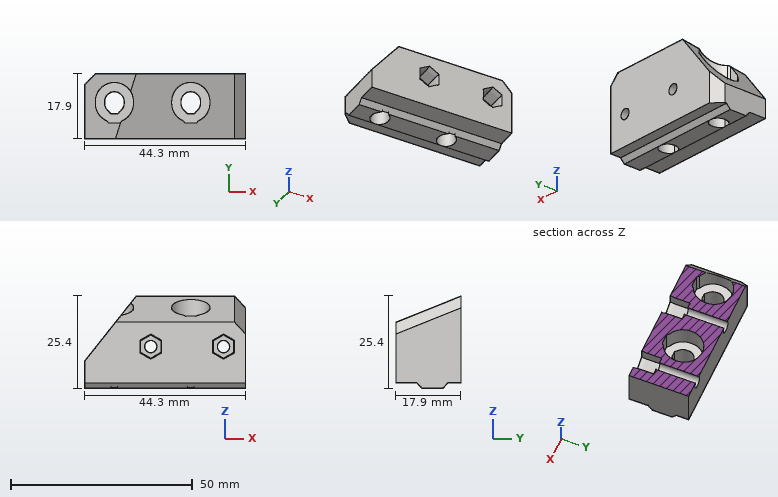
import cadquery as cq
import math

LENGTH = 44.25
FRONT_Y = -10.0
BACK_Y = 7.9
HEIGHT = 25.4
FRONT_HEIGHT = 18.2
WIDTH = BACK_Y - FRONT_Y

RAIL_HEIGHT = 1.5
RAIL_HALF_BOTTOM = 2.9
RAIL_HALF_TOP = 4.25

NOSE_HEIGHT = 7.5
SLOPE_LENGTH = 14.2
CHAMFER = 3.0

BORE_X = (8.2, 29.2)
BORE_TRAVEL = 0.5
COUNTERBORE_DIAMETER = 10.5
COUNTERBORE_TIP_Y = -5.7
COUNTERBORE_FLOOR = 7.0
SCREW_DIAMETER = 5.3
SCREW_TIP_Y = -3.1

BOLT_X = (18.2, 38.2)
BOLT_Z = 11.5
BOLT_DIAMETER = 3.3
NUT_RADIUS = 3.2
NUT_MOUTH_RADIUS = 3.45
NUT_DEPTH = 6.0
NUT_LEAD_IN = 1.5


def make_block():
    """Block with a top that falls toward the front face, standing on the rail."""
    end_outline = [
        (-RAIL_HALF_BOTTOM, 0),
        (RAIL_HALF_BOTTOM, 0),
        (RAIL_HALF_TOP, RAIL_HEIGHT),
        (BACK_Y, RAIL_HEIGHT),
        (BACK_Y, HEIGHT),
        (FRONT_Y, FRONT_HEIGHT),
        (FRONT_Y, RAIL_HEIGHT),
        (-RAIL_HALF_TOP, RAIL_HEIGHT),
    ]
    return cq.Workplane("YZ").polyline(end_outline).close().extrude(LENGTH)


def chamfer_high_end(block):
    """Chamfer the top edge of the high-X end, square to the tilted top face."""
    edge_middle = (LENGTH, (FRONT_Y + BACK_Y) / 2, (FRONT_HEIGHT + HEIGHT) / 2)
    top_edge = cq.selectors.NearestToPointSelector(edge_middle)
    return block.faces(">X").edges(top_edge).chamfer(CHAMFER)


def make_end_slope():
    """Wedge that cuts the sloping face at the low-X end."""
    outline = [(0, NOSE_HEIGHT), (SLOPE_LENGTH, HEIGHT), (0, HEIGHT)]
    return cq.Workplane("XZ", origin=(0, BACK_Y, 0)).polyline(outline).close().extrude(WIDTH)


def make_corner_cut():
    """Prism that cuts the upright back corner at the low-X end."""
    outline = [(0, BACK_Y), (CHAMFER, BACK_Y), (0, BACK_Y - CHAMFER)]
    return cq.Workplane("XY").polyline(outline).close().extrude(HEIGHT)


def make_bore(x, diameter, teardrop_y, tip_y, bottom):
    """Slotted bore open at the top, with a 45-degree teardrop centred on teardrop_y and cut flat at tip_y."""
    radius = diameter / 2
    depth = HEIGHT - bottom
    base = cq.Workplane("XY", origin=(x, 0, bottom))
    slot = base.slot2D(diameter + BORE_TRAVEL, diameter, 90).extrude(depth)
    tangent = radius * math.sin(math.radians(45))
    apex_y = teardrop_y - radius * math.sqrt(2)
    tip_half_width = tip_y - apex_y
    tip_outline = [
        (-tangent, teardrop_y - tangent),
        (-tip_half_width, tip_y),
        (tip_half_width, tip_y),
        (tangent, teardrop_y - tangent),
    ]
    return slot.union(base.polyline(tip_outline).close().extrude(depth))


def make_screw_bore(x):
    """Through hole for a screw with the counterbore for its head."""
    half_travel = BORE_TRAVEL / 2
    counterbore = make_bore(x, COUNTERBORE_DIAMETER, half_travel, COUNTERBORE_TIP_Y, COUNTERBORE_FLOOR)
    through_hole = make_bore(x, SCREW_DIAMETER, -half_travel, SCREW_TIP_Y, 0)
    return counterbore.union(through_hole)


def hexagon_points(radius):
    """Corners of a hexagon with one corner pointing up."""
    sides = 6
    step = 2 * math.pi / sides
    angles = [(corner + 0.5) * step for corner in range(sides)]
    return [(radius * math.cos(angle), radius * math.sin(angle)) for angle in angles]


def make_bolt_cut(x):
    """Bolt hole along Y and a nut trap whose mouth widens toward the front face."""
    bolt = cq.Workplane("XZ", origin=(x, BACK_Y, BOLT_Z)).circle(BOLT_DIAMETER / 2).extrude(WIDTH)
    front = cq.Workplane("XZ", origin=(x, FRONT_Y, BOLT_Z))
    trap = front.polyline(hexagon_points(NUT_RADIUS)).close().extrude(-NUT_DEPTH)
    lead_in = (
        front.polyline(hexagon_points(NUT_MOUTH_RADIUS)).close()
        .workplane(offset=-NUT_LEAD_IN)
        .polyline(hexagon_points(NUT_RADIUS)).close()
        .loft(ruled=True)
    )
    return bolt.union(trap).union(lead_in)


result = chamfer_high_end(make_block())
result = result.cut(make_end_slope()).cut(make_corner_cut())
for bore_x in BORE_X:
    result = result.cut(make_screw_bore(bore_x))
for bolt_x in BOLT_X:
    result = result.cut(make_bolt_cut(bolt_x))